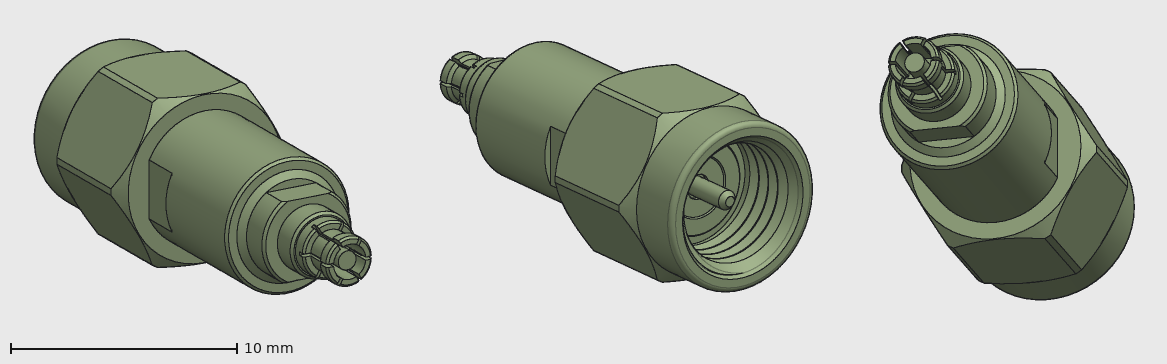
import cadquery as cq
import math

LENGTH = 21.08

SLEEVE_DIAMETER = 7.88
SLEEVE_ROUND = 0.25
NUT_START = 2.57
NUT_END = 8.43
NUT_ACROSS_FLATS = 7.95
NUT_ACROSS_CORNERS = 9.0

MOUTH_DIAMETER = 6.6
THREAD_MAJOR = 6.35
THREAD_MINOR = 5.44
THREAD_ROOT = 6.32
MOUTH_CHAMFER_DEPTH = 0.2
SOCKET_DEPTH = 3.55
THREAD_PITCH = 0.706
THREAD_TURNS = 4.7
THREAD_START = -0.15
THREAD_HALF_ANGLE = 36.0

FACE_BOSS_DIAMETER = 4.57
FACE_BOSS_FRONT = 3.27
FACE_BOSS_CHAMFER = 0.06
BEAD_DIAMETER = 2.93
BEAD_RECESS_DEPTH = 0.06
PIN_CLEARANCE_DIAMETER = 1.15
PIN_CLEARANCE_DEPTH = 0.21
PIN_DIAMETER = 0.9
PIN_TIP_DIAMETER = 0.48
PIN_TIP_LENGTH = 0.25
PIN_FRONT = 0.95

BODY_DIAMETER = 6.37
BODY_END = 15.7
BODY_CHAMFER = 0.13
BODY_FLAT_END = 10.43
BODY_ACROSS_FLATS = 5.73
SHOULDER_DIAMETER = 5.27
COLLAR_START = 15.95
COLLAR_DIAMETER = 4.57
COLLAR_END = 17.43
COLLAR_CHAMFER = 0.13
COLLAR_ACROSS_FLATS = 3.8
STEP_DIAMETER = 3.15
STEP_END = 18.68
STEP_CHAMFER = 0.13
COLLET_BASE_DIAMETER = 2.75
COLLET_BASE_END = 19.37
COLLET_BASE_CHAMFER = 0.1

NECK_DIAMETER = 1.98
NECK_END = 20.38
LIP_DIAMETER = 2.35
LIP_START = 20.51
LIP_CHAMFER = 0.1
COLLET_BORE = 1.65
CONTACT_DIAMETER = 0.9
CONTACT_END = 20.87
SLOT_COUNT = 6
SLOT_WIDTH = 0.15
SLOT_START = 19.04


def cylinder(diameter, start, end):
    """Round bar along X."""
    return cq.Workplane("YZ", origin=(start, 0, 0)).circle(diameter / 2).extrude(end - start)


def turned(profile):
    """Solid of revolution about X from (x, radius) points."""
    return cq.Workplane("XY").polyline(profile).close().revolve(360, (0, 0, 0), (1, 0, 0))


def parallel_flats(across_flats, start, end, direction):
    """Slab that keeps only the material between two flats facing +/- direction ("Y" or "Z")."""
    wide = 2 * NUT_ACROSS_CORNERS
    size_y, size_z = (across_flats, wide) if direction == "Y" else (wide, across_flats)
    return cq.Workplane("XY").box(end - start, size_y, size_z).translate(((start + end) / 2, 0, 0))


def make_nut():
    corner_chamfer = (NUT_ACROSS_CORNERS - SLEEVE_DIAMETER) / 2
    hexagon = (
        cq.Workplane("YZ", origin=(NUT_START, 0, 0))
        .polygon(6, NUT_ACROSS_FLATS / math.cos(math.pi / 6))
        .extrude(NUT_END - NUT_START)
    )
    turned_envelope = cylinder(NUT_ACROSS_CORNERS, NUT_START, NUT_END).edges().chamfer(corner_chamfer)
    sleeve = cylinder(SLEEVE_DIAMETER, 0, NUT_END).faces("<X").edges().fillet(SLEEVE_ROUND)
    return hexagon.intersect(turned_envelope).union(sleeve)


def make_socket():
    """Space inside the nut, with its entry chamfers."""
    lead_in_end = MOUTH_CHAMFER_DEPTH + (THREAD_MAJOR - THREAD_MINOR) / 2
    return turned([
        (0, 0),
        (0, MOUTH_DIAMETER / 2),
        (MOUTH_CHAMFER_DEPTH, THREAD_MAJOR / 2),
        (lead_in_end, THREAD_MINOR / 2),
        (SOCKET_DEPTH, THREAD_MINOR / 2),
        (SOCKET_DEPTH, 0),
    ])


def make_thread_groove():
    """Helical V groove that forms the internal thread."""
    overlap = 0.02
    base_radius = THREAD_MINOR / 2 - overlap
    root_radius = THREAD_ROOT / 2
    half_width = (root_radius - base_radius) * math.tan(math.radians(THREAD_HALF_ANGLE))
    path = cq.Wire.makeHelix(
        THREAD_PITCH, THREAD_TURNS * THREAD_PITCH, base_radius,
        center=cq.Vector(THREAD_START, 0, 0), dir=cq.Vector(1, 0, 0),
    )
    start = path.startPoint()
    outward = cq.Vector(0, start.y, start.z).normalized()
    profile = cq.Workplane(cq.Plane(origin=start, xDir=(1, 0, 0), normal=cq.Vector(1, 0, 0).cross(outward)))
    return (
        profile.moveTo(-half_width, 0)
        .lineTo(half_width, 0)
        .lineTo(0, root_radius - base_radius)
        .close()
        .sweep(cq.Workplane(obj=path), isFrenet=True)
    )


def make_mating_face():
    """Raised contact ring with a shallow bead recess and the centre pin."""
    bead_face = FACE_BOSS_FRONT + BEAD_RECESS_DEPTH
    clearance_floor = bead_face + PIN_CLEARANCE_DEPTH
    bead_recess = turned([
        (FACE_BOSS_FRONT, 0),
        (FACE_BOSS_FRONT, BEAD_DIAMETER / 2),
        (bead_face, BEAD_DIAMETER / 2 - BEAD_RECESS_DEPTH),
        (bead_face, 0),
    ])
    pin = turned([
        (PIN_FRONT, 0),
        (PIN_FRONT, PIN_TIP_DIAMETER / 2),
        (PIN_FRONT + PIN_TIP_LENGTH, PIN_DIAMETER / 2),
        (SOCKET_DEPTH, PIN_DIAMETER / 2),
        (SOCKET_DEPTH, 0),
    ])
    return (
        cylinder(FACE_BOSS_DIAMETER, FACE_BOSS_FRONT, SOCKET_DEPTH)
        .faces("<X").chamfer(FACE_BOSS_CHAMFER)
        .cut(bead_recess)
        .cut(cylinder(PIN_CLEARANCE_DIAMETER, bead_face, clearance_floor))
        .union(pin)
    )


def make_body():
    """Stepped barrel from the nut to the base of the collet."""
    barrel = turned([
        (NUT_END, 0),
        (NUT_END, BODY_DIAMETER / 2),
        (BODY_END - BODY_CHAMFER, BODY_DIAMETER / 2),
        (BODY_END, BODY_DIAMETER / 2 - BODY_CHAMFER),
        (BODY_END, SHOULDER_DIAMETER / 2),
        (COLLAR_START, COLLAR_DIAMETER / 2),
        (COLLAR_START, 0),
    ])
    round_part = cylinder(BODY_DIAMETER, BODY_FLAT_END, LENGTH)
    flats = parallel_flats(BODY_ACROSS_FLATS, NUT_END, BODY_FLAT_END, "Y")
    barrel = barrel.intersect(flats.union(round_part))

    collar = cylinder(COLLAR_DIAMETER, COLLAR_START, COLLAR_END).faces(">X").chamfer(COLLAR_CHAMFER)
    collar = collar.intersect(parallel_flats(COLLAR_ACROSS_FLATS, COLLAR_START, COLLAR_END, "Z"))

    step = cylinder(STEP_DIAMETER, COLLAR_END, STEP_END).faces(">X").chamfer(STEP_CHAMFER)
    return barrel.union(collar).union(step)


def make_collet():
    """Slotted spring fingers around a centre contact."""
    fingers = turned([
        (STEP_END, 0),
        (STEP_END, COLLET_BASE_DIAMETER / 2),
        (COLLET_BASE_END - COLLET_BASE_CHAMFER, COLLET_BASE_DIAMETER / 2),
        (COLLET_BASE_END, COLLET_BASE_DIAMETER / 2 - COLLET_BASE_CHAMFER),
        (COLLET_BASE_END, NECK_DIAMETER / 2),
        (NECK_END, NECK_DIAMETER / 2),
        (LIP_START, LIP_DIAMETER / 2),
        (LENGTH - LIP_CHAMFER, LIP_DIAMETER / 2),
        (LENGTH, LIP_DIAMETER / 2 - LIP_CHAMFER),
        (LENGTH, 0),
    ])
    fingers = fingers.cut(cylinder(COLLET_BORE, SLOT_START, LENGTH))
    slot_length = LENGTH - SLOT_START
    for index in range(SLOT_COUNT):
        slot = (
            cq.Workplane("XY")
            .box(slot_length, COLLET_BASE_DIAMETER, SLOT_WIDTH, centered=(False, False, True))
            .translate((SLOT_START, 0, 0))
            .rotate((0, 0, 0), (1, 0, 0), index * 360 / SLOT_COUNT)
        )
        fingers = fingers.cut(slot)
    return fingers.union(cylinder(CONTACT_DIAMETER, SLOT_START, CONTACT_END))


nut = make_nut().cut(make_socket()).cut(make_thread_groove())
result = nut.union(make_mating_face()).union(make_body()).union(make_collet())